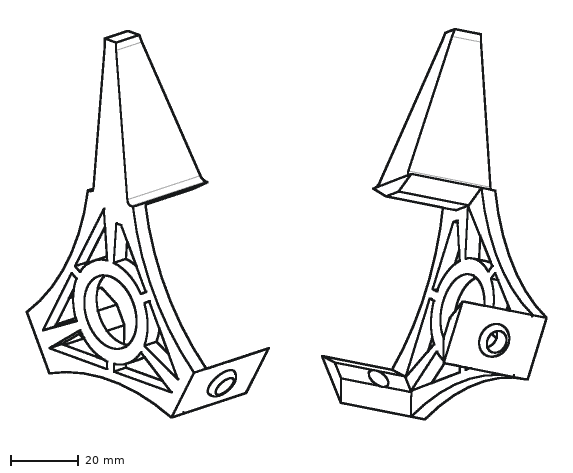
import cadquery as cq
import math

depth = 30.7
plate_thickness = 5.1
bore_radius = 11.2
ring_radius = 16.1

arm_count = 3
arm_step = 360 / arm_count
arm_reach = 36.0
arm_half_width = 9.73
waist_distance = 21.6

window_edge = 18.4
web_half_width = 1.5
window_tip_reach = 31.9
window_tip_offset = 2.8
blunt_tip_reach = 28.8

pad_thickness = 3.9
pad_inner_half_width = 3.3

boss_radius = 5.1
screw_hole_radius = 3.4
boss_height = boss_radius - screw_hole_radius
screw_hole_y = 15.9

fin_top = 112.5 - (arm_reach / 2 + arm_half_width * math.cos(math.radians(30)))
fin_base_half_width = 7.3
fin_tip_half_width = 2.5
fin_tip_height = 2.5
fin_tip_depth = 9.6
fin_root_radius = 1.6


def polar(radius, angle):
    """XZ point at the given angle from +X towards +Z."""
    return (radius * math.cos(math.radians(angle)), radius * math.sin(math.radians(angle)))


def turn(shape, angle):
    """Turn a shape about the hub axis, counterclockwise seen from the front."""
    return shape.rotate((0, 0, 0), (0, -1, 0), angle)


def extrude_back(sketch, length):
    """Extrude an XZ sketch from the front face towards +Y."""
    return sketch.extrude(-length)


def make_plate():
    corner_radius = math.hypot(arm_reach, arm_half_width)
    corner_angle = math.degrees(math.atan2(arm_half_width, arm_reach))
    outline = cq.Workplane("XZ").moveTo(*polar(corner_radius, 90 - corner_angle))
    for arm in range(arm_count):
        angle = 90 + arm * arm_step
        outline = outline.lineTo(*polar(corner_radius, angle + corner_angle))
        outline = outline.threePointArc(
            polar(waist_distance, angle + arm_step / 2),
            polar(corner_radius, angle + arm_step - corner_angle),
        )
    return extrude_back(outline.close(), plate_thickness)


def make_window():
    """Window to the right of the upper arm's web, bounded inside by the ring."""
    side_angle = 90 - arm_step / 2
    edge_radius = math.hypot(window_edge, web_half_width)
    edge_angle = side_angle + math.degrees(math.atan2(web_half_width, window_edge))
    points = [
        (window_tip_offset, window_tip_reach),
        (web_half_width, ring_radius),
        (0, 0),
        polar(web_half_width, side_angle + 90),
        polar(edge_radius, edge_angle),
    ]
    window = extrude_back(cq.Workplane("XZ").polyline(points).close(), plate_thickness)
    ring = extrude_back(cq.Workplane("XZ").circle(ring_radius), plate_thickness)
    return window.cut(ring)


def make_pad():
    inner_reach = arm_reach - pad_thickness
    points = [
        (-arm_half_width, arm_reach),
        (arm_half_width, arm_reach),
        (pad_inner_half_width, inner_reach),
        (-pad_inner_half_width, inner_reach),
    ]
    return extrude_back(cq.Workplane("XZ").polyline(points).close(), depth)


def make_boss():
    """Ring around the screw hole, rounded from the pad surface to the hole rim."""
    arc_offset = boss_height * math.sqrt(0.5)
    profile = (
        cq.Workplane("YZ", origin=(0, screw_hole_y, arm_reach))
        .moveTo(screw_hole_radius, 0)
        .lineTo(boss_radius, 0)
        .threePointArc(
            (screw_hole_radius + arc_offset, arc_offset),
            (screw_hole_radius, boss_height),
        )
        .close()
    )
    return profile.revolve(360, (0, 0), (0, 1))


def make_screw_hole():
    start = arm_reach - pad_thickness
    hole = cq.Workplane("XY", origin=(0, screw_hole_y, start)).circle(screw_hole_radius)
    return hole.extrude(pad_thickness)


def make_fin():
    root_half_width = fin_base_half_width + fin_root_radius
    root_top = arm_reach + fin_root_radius
    taper_end = fin_top - fin_tip_height
    arc_offset = fin_root_radius * math.sqrt(0.5)
    front = (
        cq.Workplane("XZ")
        .moveTo(-root_half_width, arm_reach)
        .lineTo(root_half_width, arm_reach)
        .threePointArc(
            (root_half_width - arc_offset, root_top - arc_offset),
            (fin_base_half_width, root_top),
        )
        .lineTo(fin_tip_half_width, taper_end)
        .lineTo(fin_tip_half_width, fin_top)
        .lineTo(-fin_tip_half_width, fin_top)
        .lineTo(-fin_tip_half_width, taper_end)
        .lineTo(-fin_base_half_width, root_top)
        .threePointArc(
            (-root_half_width + arc_offset, root_top - arc_offset),
            (-root_half_width, arm_reach),
        )
        .close()
    )
    side_points = [(0, arm_reach), (depth, arm_reach), (fin_tip_depth, fin_top), (0, fin_top)]
    side = cq.Workplane("YZ").polyline(side_points).close().extrude(root_half_width, both=True)
    return extrude_back(front, depth).intersect(side)


plate = make_plate()
right_window = make_window()
left_window = right_window.mirror("YZ")
tip_filler = (
    cq.Workplane("XY", origin=(0, 0, blunt_tip_reach))
    .rect(2 * arm_half_width, 2 * plate_thickness)
    .extrude(arm_reach - blunt_tip_reach)
)
for arm in range(arm_count):
    blunt = arm == 0
    first_window = right_window.cut(tip_filler) if blunt else right_window
    plate = plate.cut(turn(first_window, arm * arm_step))
    plate = plate.cut(turn(left_window, arm * arm_step))
plate = plate.cut(extrude_back(cq.Workplane("XZ").circle(bore_radius), plate_thickness))

result = plate.union(make_fin())
for arm in range(arm_count):
    pad = make_pad()
    if arm > 0:
        pad = pad.cut(make_screw_hole()).union(make_boss())
    result = result.union(turn(pad, arm * arm_step))